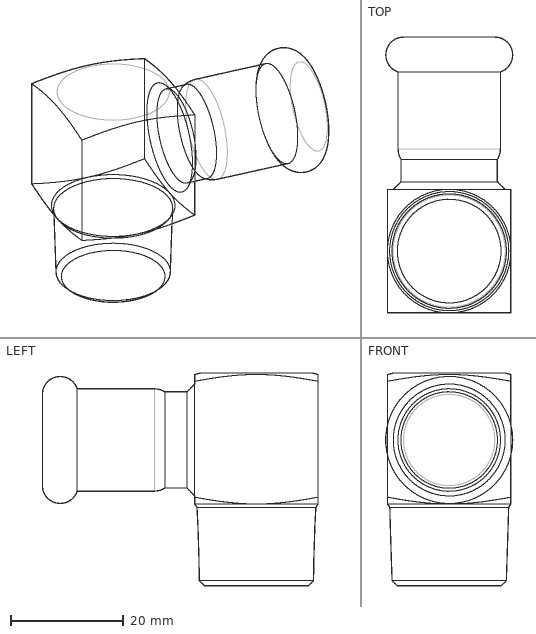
import cadquery as cq
import math


body_side = 22.05
body_top = 11.95
crown_diameter = 20.0
crown_angle = 15.0
shoulder_drop = 0.6
body_bottom = -11.4

thread_bottom = -26.05
thread_top_radius = 10.65
thread_taper = 1 / 32
end_chamfer_height = 0.95
end_face_radius = 9.25

cone_radius = 10.0
neck_diameter = 17.2
neck_start = 12.35
neck_end = 16.35
tube_start = 18.2
tube_diameter = 18.3
tube_end = 38.2
bead_diameter = 22.7
bead_section_radius = 3.2

half_side = body_side / 2
crown_radius = crown_diameter / 2
crown_slope = math.tan(math.radians(crown_angle))
thread_top = body_bottom - shoulder_drop


def make_body():
    """Square block trimmed by a shallow cone at the top and at the bottom."""
    block = (
        cq.Workplane("XY")
        .workplane(offset=thread_top)
        .rect(body_side, body_side)
        .extrude(body_top - thread_top)
    )
    rim_radius = body_side
    rim_z = body_top - (rim_radius - crown_radius) * crown_slope
    envelope = (
        cq.Workplane("XZ")
        .moveTo(0, thread_top)
        .lineTo(thread_top_radius, thread_top)
        .lineTo(half_side, body_bottom)
        .lineTo(rim_radius, body_bottom + (rim_radius - half_side) * crown_slope)
        .lineTo(rim_radius, rim_z)
        .lineTo(crown_radius, body_top)
        .lineTo(0, body_top)
        .close()
        .revolve(360, (0, 0, 0), (0, 1, 0))
    )
    return block.intersect(envelope)


def make_thread_end():
    """Tapered plug below the body, chamfered at its free end."""
    chamfer_z = thread_bottom + end_chamfer_height
    chamfer_radius = thread_top_radius - (thread_top - chamfer_z) * thread_taper
    return (
        cq.Workplane("XZ")
        .lineTo(thread_top_radius, 0)
        .lineTo(thread_top_radius, thread_top)
        .lineTo(chamfer_radius, chamfer_z)
        .lineTo(end_face_radius, thread_bottom)
        .lineTo(0, thread_bottom)
        .close()
        .revolve(360, (0, 0, 0), (0, 1, 0))
    )


def make_tube():
    """Cone, neck, rounded step, tube and end bead, revolved about the Y axis."""
    neck_radius = neck_diameter / 2
    tube_radius = tube_diameter / 2
    bead_y = tube_end - bead_section_radius
    bead_center_radius = bead_diameter / 2 - bead_section_radius
    bead_half_width = math.sqrt(bead_section_radius**2 - (tube_radius - bead_center_radius) ** 2)
    step_rise = tube_radius - neck_radius
    step_length = tube_start - neck_end
    step_arc_radius = (step_rise**2 + step_length**2) / (2 * step_rise)
    return (
        cq.Workplane("XY")
        .lineTo(cone_radius, 0)
        .lineTo(cone_radius, half_side)
        .lineTo(neck_radius, neck_start)
        .lineTo(neck_radius, neck_end)
        .radiusArc((tube_radius, tube_start), -step_arc_radius)
        .lineTo(tube_radius, bead_y - bead_half_width)
        .threePointArc((bead_diameter / 2, bead_y), (bead_center_radius, tube_end))
        .lineTo(0, tube_end)
        .close()
        .revolve(360, (0, 0, 0), (0, 1, 0))
    )


result = make_body().union(make_thread_end()).union(make_tube())